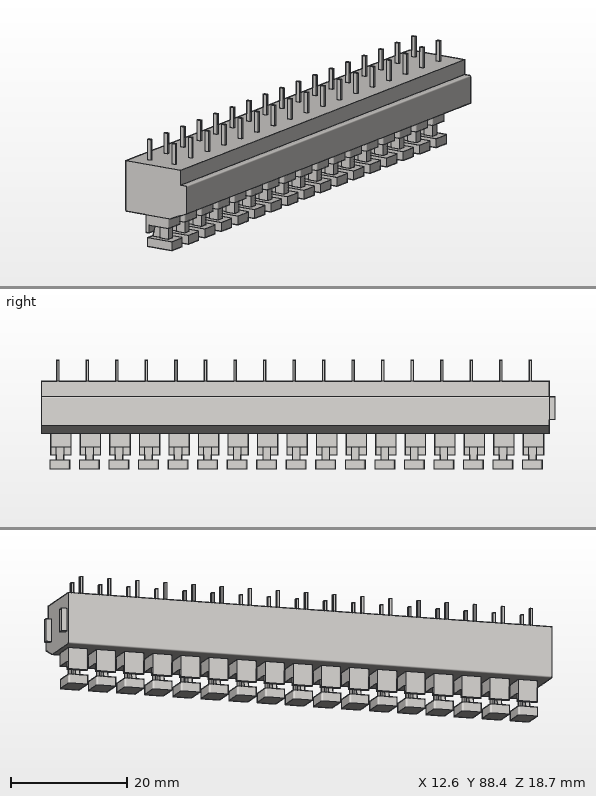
import cadquery as cq

station_count = 17
pitch = 5.08
total_length = 88.4
total_height = 18.7

housing_width = 12.6
housing_bottom = 6.1
housing_top = 15.1
step_x = 11.4
step_z = 12.5
slope_start_x = 9.2
slope_end_z = 7.5
edge_radius = 0.3

nub_length = 1.0
nub_height = 4.0
left_nub_x = 0.8
left_nub_width = 1.15
right_nub_x = 9.5
right_nub_width = 0.9
housing_length = total_length - nub_length

first_pin_y = 2.8
pin_width = 0.7
pin_thickness = 0.4
left_row_x = 3.1
pin_rows_x = (left_row_x, left_row_x + pitch)

guide_x = 3.0
guide_length = 4.8
guide_width = 3.5
guide_bottom = 3.8
guide_offset_y = 0.5
guide_center_y = first_pin_y + guide_offset_y
lip_thickness = 0.7
lip_bottom = 2.4
guide_corner_radius = 0.3

button_x = 3.5
button_length = 5.0
button_width = 3.45
button_height = 1.6
button_offset_y = 0.35
button_center_y = first_pin_y + button_offset_y
button_corner_radius = 0.35

blade_bottom_x = 3.7
blade_top_x = 4.3
blade_width = 0.8
stem_block_x = 5.4
stem_end_x = 7.2
stem_block_width = 1.3


def box(x, y, z, length, width, height):
    """Box whose lowest corner is at (x, y, z)."""
    return cq.Workplane("XY").box(length, width, height, centered=False).translate((x, y, z))


def extrude_along_y(points, y, width):
    """Closed XZ outline extruded from y towards +Y."""
    return cq.Workplane("XZ", origin=(0, y, 0)).polyline(points).close().extrude(-width)


def make_housing():
    outline = [
        (0, housing_bottom),
        (slope_start_x, housing_bottom),
        (housing_width, slope_end_z),
        (housing_width, step_z),
        (step_x, step_z),
        (step_x, housing_top),
        (0, housing_top),
    ]
    housing = extrude_along_y(outline, 0, housing_length)
    ledge_edge = cq.selectors.NearestToPointSelector((housing_width, housing_length / 2, step_z))
    lower_edge = cq.selectors.NearestToPointSelector((0, housing_length / 2, housing_bottom))
    housing = housing.edges(ledge_edge).fillet(edge_radius)
    return housing.edges(lower_edge).fillet(edge_radius)


def make_nub(x, width):
    return box(x, housing_length, step_z - nub_height, width, nub_length, nub_height)


def make_pin(x):
    pin_height = total_height - housing_top
    corner_y = first_pin_y - pin_thickness / 2
    return box(x - pin_width / 2, corner_y, housing_top, pin_width, pin_thickness, pin_height)


def make_guide():
    outline = [
        (guide_x, housing_bottom),
        (guide_x, lip_bottom),
        (guide_x + lip_thickness, lip_bottom),
        (guide_x + lip_thickness, guide_bottom),
        (guide_x + guide_length, guide_bottom),
        (guide_x + guide_length, housing_bottom),
    ]
    guide = extrude_along_y(outline, guide_center_y - guide_width / 2, guide_width)
    outer_corners = guide.faces("<X or >X").edges("|Z").edges("<Y")
    return outer_corners.fillet(guide_corner_radius)


def make_button():
    button = box(button_x, button_center_y - button_width / 2, 0, button_length, button_width, button_height)
    return button.edges("|Z and >Y").fillet(button_corner_radius)


def make_stem():
    blade_outline = [
        (blade_bottom_x, button_height),
        (stem_block_x, button_height),
        (stem_block_x, guide_bottom),
        (blade_top_x, guide_bottom),
    ]
    blade = extrude_along_y(blade_outline, button_center_y - blade_width / 2, blade_width)
    block = box(
        stem_block_x,
        button_center_y - stem_block_width / 2,
        button_height,
        stem_end_x - stem_block_x,
        stem_block_width,
        guide_bottom - button_height,
    )
    return blade.union(block)


def make_station_parts():
    pins = [make_pin(x) for x in pin_rows_x]
    actuator = make_guide().union(make_stem()).union(make_button())
    return pins + [actuator]


station_parts = make_station_parts()
result = make_housing()
result = result.union(make_nub(left_nub_x, left_nub_width))
result = result.union(make_nub(right_nub_x, right_nub_width))
for station in range(station_count):
    for piece in station_parts:
        result = result.union(piece.translate((0, station * pitch, 0)))